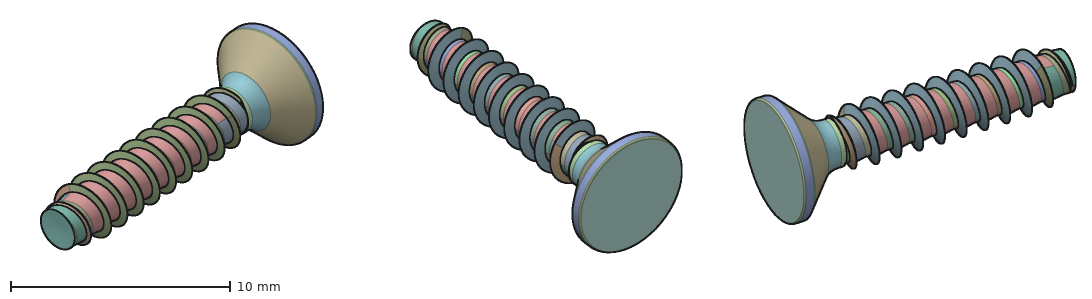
import math

import cadquery as cq


length = 15.0
head_radius = 3.0

head_rim_depth = 0.535
rim_edge_radius = 0.08
head_half_angle = math.radians(45)

neck_radius = 1.165
neck_fillet = 1.2
neck_depth = 3.14
core_top_radius = 1.055
core_tip_radius = 1.03
tip_dimple_depth = 0.07

pitch = 1.12
crest_reference_depth = 4.07
crest_radius = 1.515
crest_width = 0.02
upper_flank_width = 0.22
lower_flank_width = 0.09
ramp_radius = 1.15
ramp_width = 0.70
ramp_end_radius = 1.02
thread_root_radius = 0.95

thread_start = 2.4
full_thread_start = 4.2
full_thread_end = 13.4
thread_end = 14.85


def make_shank():
    """Head, neck and core as one turned body."""
    fillet_start_radius = neck_radius + neck_fillet * (1 - math.cos(head_half_angle))
    fillet_start = head_rim_depth + (head_radius - fillet_start_radius) / math.tan(head_half_angle)
    fillet_end = fillet_start + neck_fillet * math.sin(head_half_angle)
    half_arc = head_half_angle / 2
    fillet_middle = (
        neck_radius + neck_fillet * (1 - math.cos(half_arc)),
        neck_fillet * math.sin(half_arc) - fillet_end,
    )
    outline = (
        cq.Workplane("XZ")
        .lineTo(head_radius, 0)
        .lineTo(head_radius, -head_rim_depth)
        .lineTo(fillet_start_radius, -fillet_start)
        .threePointArc(fillet_middle, (neck_radius, -fillet_end))
        .lineTo(neck_radius, -neck_depth)
        .lineTo(core_top_radius, -neck_depth)
        .lineTo(core_tip_radius, -length)
        .lineTo(0, -length)
        .close()
    )
    shank = outline.revolve(360, (0, 0), (0, 1))
    rim_zone = cq.selectors.BoxSelector(
        (-head_radius, -head_radius, -head_rim_depth - rim_edge_radius),
        (head_radius, head_radius, rim_edge_radius),
    )
    return shank.edges("%CIRCLE").edges(rim_zone).fillet(rim_edge_radius)


def thread_profile():
    """Corners of the full thread section as (radius, height above the middle of the crest)."""
    half_crest = crest_width / 2
    flank_foot = -half_crest - lower_flank_width
    ramp_end = flank_foot - ramp_width
    return [
        (thread_root_radius, half_crest + upper_flank_width),
        (crest_radius, half_crest),
        (crest_radius, -half_crest),
        (ramp_radius, flank_foot),
        (ramp_end_radius, ramp_end),
        (thread_root_radius, ramp_end),
    ]


def make_corner_curve(bottom_radius, top_radius, rise):
    """Helix of the given rise whose radius changes evenly from bottom to top."""
    slope = (top_radius - bottom_radius) / rise
    if slope == 0:
        return cq.Wire.makeHelix(pitch, rise, bottom_radius).Edges()[0]
    slant = math.hypot(1, slope)
    cone_angle = math.degrees(math.atan(slope))
    return cq.Wire.makeHelix(pitch * slant, rise * slant, bottom_radius, angle=cone_angle).Edges()[0]


def make_thread(bottom, top, bottom_limit=crest_radius, top_limit=crest_radius):
    """Thread between two crest depths, its corners held within a limiting radius at each end."""
    corner_curves = []
    for radius, height in thread_profile():
        helix = make_corner_curve(min(radius, bottom_limit), min(radius, top_limit), bottom - top)
        corner_curves.append(helix.translate(cq.Vector(0, 0, height - bottom)))
    next_curves = corner_curves[1:] + corner_curves[:1]
    faces = [cq.Face.makeRuledSurface(a, b) for a, b in zip(corner_curves, next_curves)]
    for end in (0, 1):
        corners = [curve.positionAt(end) for curve in corner_curves]
        faces.append(cq.Face.makeFromWires(cq.Wire.makePolygon(corners, close=True)))
    thread = cq.Workplane(cq.Solid.makeSolid(cq.Shell.makeShell(faces)))
    start_angle = 360 * (crest_reference_depth - bottom) / pitch
    return thread.rotate((0, 0, 0), (0, 0, 1), start_angle)


def make_thread_space():
    """Region the thread may fill: from the end of the neck down to the end face."""
    return (
        cq.Workplane("XY")
        .workplane(offset=-length)
        .circle(head_radius)
        .extrude(length - neck_depth)
    )


def make_tip_dimple():
    """Shallow cone dished into the end face."""
    return (
        cq.Workplane("XZ")
        .moveTo(0, -length)
        .lineTo(core_tip_radius, -length)
        .lineTo(0, tip_dimple_depth - length)
        .close()
        .revolve(360, (0, 0), (0, 1))
    )


full_thread = make_thread(full_thread_end, full_thread_start)
lead_in = make_thread(full_thread_start, thread_start, top_limit=ramp_radius)
lead_out = make_thread(thread_end, full_thread_end, bottom_limit=ramp_end_radius)

screw = make_shank()
for thread in (full_thread, lead_in, lead_out):
    screw = screw.union(thread.intersect(make_thread_space()))
screw = screw.cut(make_tip_dimple())

result = screw.rotate((0, 0, 0), (1, 0, 0), -90)